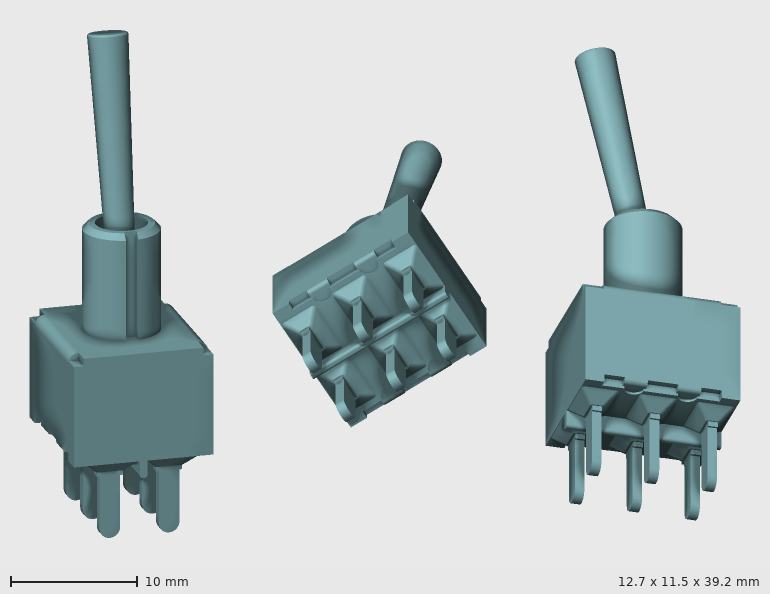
import cadquery as cq


CASE_LENGTH = 12.7
CASE_WIDTH = 11.45
CASE_HEIGHT = 8.97
SHEET = 0.63
CORNER_LENGTH = 1.53
PANEL_LENGTH = CASE_LENGTH - 2 * CORNER_LENGTH
PANEL_BOTTOM = 0.65
BEND_RADIUS = 0.82
INNER_BEND = BEND_RADIUS - SHEET
ROOF_WIDTH = CASE_WIDTH - 2 * BEND_RADIUS
ROOF_UNDERSIDE = CASE_HEIGHT - SHEET
CORE_WIDTH = CASE_WIDTH - 2 * SHEET

TAB_WIDTH = 1.9
TAB_SPACING = 4.4
TAB_BOTTOM = 0.2
TAB_ROUND = 0.35
TAB_NOTCH_RADIUS = 0.8

RIB_WIDTH = 0.63
RIB_DEPTH = 1.4
RIB_ROUND = 0.25

PIN_PITCH_X = 4.75
PIN_PITCH_Y = 4.85
PIN_COLUMNS = 3
PIN_ROWS = 2
PIN_THICKNESS = 0.8
PIN_WIDTH = 1.7
PIN_LENGTH = 6.6
SHOULDER_WIDTH = 2.1
SHOULDER_DEPTH = RIB_DEPTH
COLLAR_LENGTH = 3.1
COLLAR_WIDTH = 4.3
COLLAR_DEPTH = 0.98
COLLAR_ROUND = 0.4

BUSHING_DIAMETER = 6.23
BUSHING_HEIGHT = 8.8
BUSHING_TOP = CASE_HEIGHT + BUSHING_HEIGHT
BUSHING_CHAMFER = 0.47
BORE_DIAMETER = 4.2
KEYWAY_WIDTH = 1.0
KEYWAY_FLOOR = 2.3

TILT = 12.2
PIVOT_HEIGHT = 13.95
BALL_RADIUS = BORE_DIAMETER / 2
LEVER_LENGTH = 18.75
LEVER_TIP_RADIUS = 1.65
LEVER_ROOT_RADIUS = 1.15
TIP_ROUND = 0.2


def block(length, width, bottom, top, x=0.0, y=0.0):
    """Box centred at (x, y) between two heights."""
    return (
        cq.Workplane("XY", origin=(x, y, bottom))
        .rect(length, width)
        .extrude(top - bottom)
    )


def tab_places():
    """X position and side (-1 or 1 along Y) of every tab."""
    return [(x * TAB_SPACING / 2, side) for x in (-1, 1) for side in (-1, 1)]


def make_tab(x, side):
    """Short tongue below a side panel with its outer lower edge rounded."""
    y = side * (CASE_WIDTH - SHEET) / 2
    outer_edge = "|X and <Z and >Y" if side > 0 else "|X and <Z and <Y"
    return block(TAB_WIDTH, SHEET, TAB_BOTTOM, PANEL_BOTTOM, x, y).edges(outer_edge).fillet(TAB_ROUND)


def make_sheet():
    """Folded sheet: a flat roof and two narrower side panels with tabs."""
    fold = (
        block(PANEL_LENGTH, CASE_WIDTH, PANEL_BOTTOM, CASE_HEIGHT)
        .edges("|X and >Z")
        .fillet(BEND_RADIUS)
    )
    inside = (
        block(PANEL_LENGTH, CORE_WIDTH, PANEL_BOTTOM, ROOF_UNDERSIDE)
        .edges("|X and >Z")
        .fillet(INNER_BEND)
    )
    roof = block(CASE_LENGTH, ROOF_WIDTH, ROOF_UNDERSIDE, CASE_HEIGHT)
    sheet = fold.cut(inside).union(roof)
    for x, side in tab_places():
        sheet = sheet.union(make_tab(x, side))
    return sheet


def make_bushing():
    """Round sleeve with a keyway on its +X side and a bore down to the centre of the ball."""
    radius = BUSHING_DIAMETER / 2
    keyway_depth = radius - KEYWAY_FLOOR
    bushing = (
        cq.Workplane("XY", origin=(0, 0, CASE_HEIGHT))
        .circle(radius)
        .extrude(BUSHING_HEIGHT)
        .faces(">Z")
        .chamfer(BUSHING_CHAMFER)
    )
    keyway = block(keyway_depth, KEYWAY_WIDTH, CASE_HEIGHT, BUSHING_TOP, KEYWAY_FLOOR + keyway_depth / 2)
    bore = (
        cq.Workplane("XY", origin=(0, 0, PIVOT_HEIGHT))
        .circle(BALL_RADIUS)
        .extrude(BUSHING_TOP - PIVOT_HEIGHT)
    )
    return bushing.cut(keyway).cut(bore)


def make_lever():
    """Tapered handle on a ball, tilted about the centre of the ball."""
    handle = (
        cq.Workplane("XZ")
        .lineTo(LEVER_ROOT_RADIUS, 0)
        .lineTo(LEVER_TIP_RADIUS, LEVER_LENGTH)
        .lineTo(0, LEVER_LENGTH)
        .close()
        .revolve(360, (0, 0, 0), (0, 1, 0))
        .faces(">Z")
        .edges()
        .fillet(TIP_ROUND)
    )
    ball = cq.Workplane("XY").sphere(BALL_RADIUS)
    lever = handle.union(ball)
    return lever.rotate((0, 0, 0), (0, 1, 0), -TILT).translate((0, 0, PIVOT_HEIGHT))


def make_cover():
    """One body: folded sheet, bushing and the lever whose ball fills the bottom of the bore."""
    return make_sheet().union(make_bushing()).union(make_lever())


def make_terminal(x, y):
    """Flat terminal with a rounded tip, a shoulder and a sloping collar."""
    tip_radius = PIN_WIDTH / 2
    blade = (
        cq.Workplane("YZ", origin=(x - PIN_THICKNESS / 2, y, 0))
        .moveTo(-tip_radius, 0)
        .lineTo(-tip_radius, tip_radius - PIN_LENGTH)
        .threePointArc((0, -PIN_LENGTH), (tip_radius, tip_radius - PIN_LENGTH))
        .lineTo(tip_radius, 0)
        .close()
        .extrude(PIN_THICKNESS)
    )
    shoulder = block(PIN_THICKNESS, SHOULDER_WIDTH, -SHOULDER_DEPTH, 0, x, y)
    collar = (
        cq.Workplane("XY", origin=(x, y, 0))
        .rect(COLLAR_LENGTH, COLLAR_WIDTH)
        .workplane(offset=-COLLAR_DEPTH)
        .rect(COLLAR_LENGTH - 2 * COLLAR_DEPTH, COLLAR_WIDTH - 2 * COLLAR_DEPTH)
        .loft(combine=True)
        .edges("not #Z")
        .fillet(COLLAR_ROUND)
    )
    return blade.union(shoulder).union(collar)


def make_base():
    """Block and corner posts below the sheet, with the rib and the terminals."""
    base = block(CASE_LENGTH, CORE_WIDTH, 0, ROOF_UNDERSIDE).edges("|X and >Z").fillet(INNER_BEND)
    corner_x = (CASE_LENGTH - CORNER_LENGTH) / 2
    for side in (-1, 1):
        base = base.union(block(CORNER_LENGTH, CASE_WIDTH, 0, ROOF_UNDERSIDE, side * corner_x))
    for x, side in tab_places():
        notch = (
            cq.Workplane("XY", origin=(x, side * CORE_WIDTH / 2, 0))
            .circle(TAB_NOTCH_RADIUS)
            .extrude(TAB_BOTTOM)
        )
        base = base.cut(notch)
    rib = block(CASE_LENGTH, RIB_WIDTH, -RIB_DEPTH, 0).edges("|X and <Z").fillet(RIB_ROUND)
    base = base.union(rib)
    for column in range(PIN_COLUMNS):
        x = (column - (PIN_COLUMNS - 1) / 2) * PIN_PITCH_X
        for row in range(PIN_ROWS):
            y = (row - (PIN_ROWS - 1) / 2) * PIN_PITCH_Y
            base = base.union(make_terminal(x, y))
    return base


cover = make_cover()
base = make_base()
result = cq.Compound.makeCompound([cover.solids().val(), base.solids().val()])